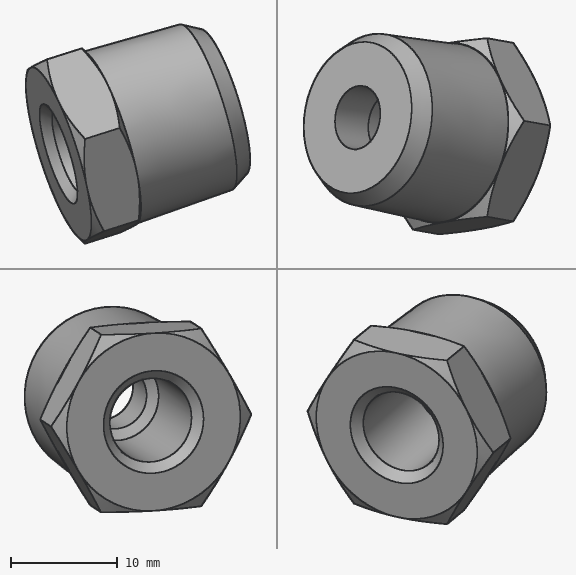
import cadquery as cq
import math

hex_sides = 6
across_flats = 17.0
across_corners = across_flats / math.cos(math.pi / hex_sides)
hex_length = 5.0
edge_chamfer_angle = 30.0

total_length = 16.5
shank_root_diameter = 16.91
taper = 1 / 16
tip_chamfer_width = 1.0
tip_chamfer_angle = 30.0
tip_chamfer_length = tip_chamfer_width / math.tan(math.radians(tip_chamfer_angle))

through_diameter = 6.0
bore_diameter = 8.0
bore_depth = 11.5
drill_point_angle = 60.0
countersink_diameter = 9.8
countersink_angle = 45.0


def revolve_about_y(profile):
    """Turn a closed list of (radius, y) points about the Y axis."""
    return cq.Workplane("XY").polyline(profile).close().revolve(360, (0, 0, 0), (0, 1, 0))


def make_head():
    """Hexagon with corners on the X axis, chamfered at both ends."""
    prism = cq.Workplane("XZ").polygon(hex_sides, across_corners).extrude(-hex_length)
    flat_radius = across_flats / 2
    corner_radius = across_corners / 2
    drop = (corner_radius - flat_radius) * math.tan(math.radians(edge_chamfer_angle))
    envelope = revolve_about_y([
        (0, 0),
        (flat_radius, 0),
        (corner_radius, drop),
        (corner_radius, hex_length - drop),
        (flat_radius, hex_length),
        (0, hex_length),
    ])
    return prism.intersect(envelope)


def make_shank():
    """Tapered shank with a chamfered tip."""
    chamfer_start = total_length - tip_chamfer_length
    root_radius = shank_root_diameter / 2
    end_radius = root_radius - (chamfer_start - hex_length) * taper / 2
    tip_radius = end_radius - tip_chamfer_width
    return revolve_about_y([
        (0, hex_length),
        (root_radius, hex_length),
        (end_radius, chamfer_start),
        (tip_radius, total_length),
        (0, total_length),
    ])


def make_bore():
    """Countersunk bore that narrows in a cone to the through hole."""
    bore_radius = bore_diameter / 2
    through_radius = through_diameter / 2
    countersink_radius = countersink_diameter / 2
    countersink_depth = (countersink_radius - bore_radius) / math.tan(math.radians(countersink_angle))
    point_depth = (bore_radius - through_radius) / math.tan(math.radians(drill_point_angle))
    return revolve_about_y([
        (0, 0),
        (countersink_radius, 0),
        (bore_radius, countersink_depth),
        (bore_radius, bore_depth),
        (through_radius, bore_depth + point_depth),
        (through_radius, total_length),
        (0, total_length),
    ])


result = make_head().union(make_shank()).cut(make_bore())